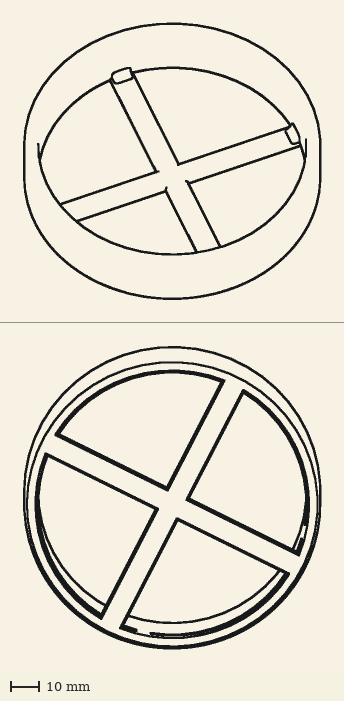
import cadquery as cq

outer_diameter = 104.5
inner_diameter = 94.5
ring_height = 22.0
rim_fillet = 1.0
base_chamfer = 1.0
base_blend = 1.0

arm_width = 8.5
arm_thickness = 2.0
arm_edge_fillet = 0.7
arm_chamfer = 0.5

gusset_count = 4
gusset_width = arm_width - 2 * arm_edge_fillet
gusset_reach = 3.0
gusset_height = 3.0
gusset_edge_fillet = 1.0

outer_radius = outer_diameter / 2
inner_radius = inner_diameter / 2
anchor_radius = (outer_radius + inner_radius) / 2


def near_height(z):
    """Selector for edges centred within half of z above or below height z."""
    return cq.selectors.BoxSelector(
        (-outer_radius, -outer_radius, z / 2),
        (outer_radius, outer_radius, z * 3 / 2),
    )


def make_ring():
    """Ring with a rounded upper rim and blended chamfers around its base."""
    ring = cq.Workplane("XY").circle(outer_radius).circle(inner_radius).extrude(ring_height)
    ring = ring.faces(">Z").edges().fillet(rim_fillet)
    ring = ring.faces("<Z").edges().chamfer(base_chamfer)
    return ring.edges("%CIRCLE").edges(near_height(base_chamfer)).fillet(base_blend)


def make_bar():
    """Bar along X spanning the ring: rounded upper edges, blended chamfers below."""
    bar_length = 2 * anchor_radius
    bar = cq.Workplane("XY").box(bar_length, arm_width, arm_thickness, centered=(True, True, False))
    bar = bar.faces(">Z").edges("|X").fillet(arm_edge_fillet)
    bar = bar.faces("<Z").edges("|X").chamfer(arm_chamfer)
    return bar.edges("|X").edges(near_height(arm_chamfer)).fillet(arm_edge_fillet)


def make_gusset():
    """Wedge on the +X arm, sloping up to the wall, with rounded slope edges."""
    toe_radius = inner_radius - gusset_reach
    top_z = arm_thickness + gusset_height
    wedge = (
        cq.Workplane("XZ")
        .moveTo(toe_radius, arm_thickness)
        .lineTo(inner_radius, top_z)
        .lineTo(anchor_radius, top_z)
        .lineTo(anchor_radius, base_chamfer)
        .lineTo(toe_radius, base_chamfer)
        .close()
        .extrude(gusset_width / 2, both=True)
    )
    slope = cq.selectors.DirectionMinMaxSelector(cq.Vector(-gusset_height, 0, gusset_reach), True)
    return wedge.faces(slope).edges("not |Y").fillet(gusset_edge_fillet)


def turned(body, angle):
    """Copy of a body turned about the ring axis."""
    return body.rotate((0, 0, 0), (0, 0, 1), angle)


bar = make_bar()
gusset = make_gusset()

result = make_ring().union(bar).union(turned(bar, 90))
for index in range(gusset_count):
    result = result.union(turned(gusset, index * 360 / gusset_count))